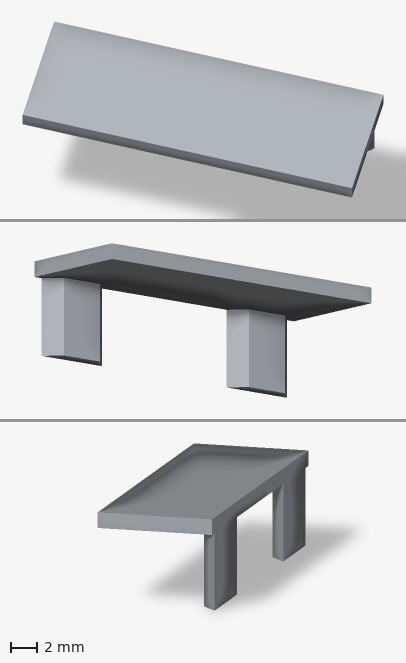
import cadquery as cq

plate_length = 25.8
plate_width = 9.0
total_height = 7.2
thickness = 1.2

leg_width = 6.0
leg_height = total_height - thickness
leg_end_gap = 0.7
leg_offset = plate_length / 2 - leg_end_gap - leg_width / 2
rear_y = plate_width / 2
front_y = rear_y - thickness


def make_leg(center_x):
    """Trapezoidal leg, full width at the rear, reaching up to the plate underside."""
    rear_half = leg_width / 2
    front_half = rear_half - thickness
    return (
        cq.Workplane("XY")
        .polyline([
            (center_x - rear_half, rear_y),
            (center_x - front_half, front_y),
            (center_x + front_half, front_y),
            (center_x + rear_half, rear_y),
        ])
        .close()
        .extrude(leg_height)
    )


result = (
    cq.Workplane("XY")
    .workplane(offset=leg_height)
    .rect(plate_length, plate_width)
    .extrude(thickness)
)

for side in (-1, 1):
    result = result.union(make_leg(side * leg_offset))